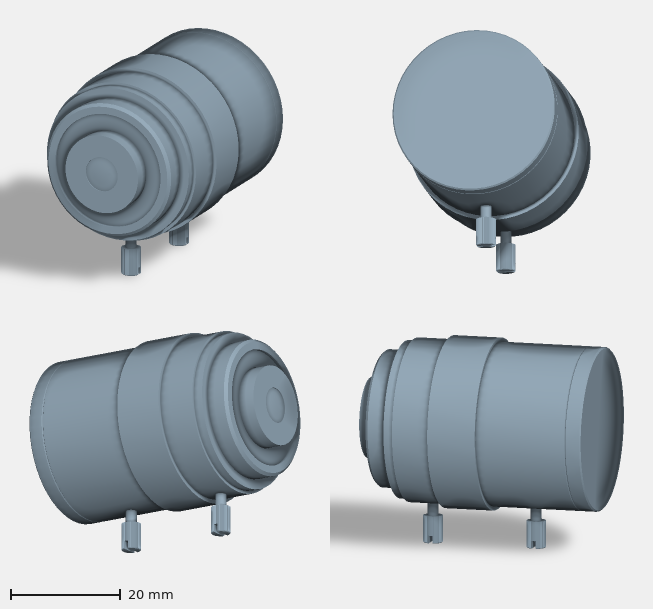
import cadquery as cq
import math

TOTAL_LENGTH = 44.0
LENS_RADIUS = 3.25
LENS_BULGE = 0.25
LENS_SINK = 0.18
NOSE_RADIUS = 7.4
NOSE_Y = LENS_BULGE - LENS_SINK
MOUNT_Y = 2.6
MOUNT_RADIUS = 12.65
MOUNT_CHAMFER = 0.55
RECESS_RADIUS = 10.75
RECESS_DEPTH = 0.65
NOSE_GAP = 0.1
NOSE_GAP_DEPTH = 0.45
STEP_Y = 6.65
STEP_RADIUS = 14.48
BARREL_Y = 8.4
BARREL_RADIUS = 15.05
RING_START_Y = 15.25
RING_END_Y = 24.25
RING_RADIUS = 15.8
GROOVE_Y = 40.88
GROOVE_WIDTH = 0.3
GROOVE_DEPTH = 0.18
REAR_CHAMFER = 0.25

SCREW_Y = (12.0, 31.5)
SCREW_END_Z = -22.5
STEM_RADIUS = 1.0
SOCKET_DEPTH = 1.3
HEAD_RADIUS = 1.8
HEAD_HEIGHT = 5.0
HEAD_CHAMFER = 0.18
KNURL_TEETH = 54
KNURL_DEPTH = 0.1
SLOT_WIDTH = 0.8
SLOT_DEPTH = 1.45

HEAD_TOP_Z = SCREW_END_Z + HEAD_HEIGHT
SOCKET_Z = -(BARREL_RADIUS - SOCKET_DEPTH)


def make_stem(y):
    """Plain screw stem from the socket floor down to the head."""
    return (
        cq.Workplane("XY", origin=(0, y, HEAD_TOP_Z))
        .circle(STEM_RADIUS)
        .extrude(SOCKET_Z - HEAD_TOP_Z)
    )


def make_head(y):
    """Knurled head with a chamfered end and a screwdriver slot along X."""
    outline = []
    for i in range(2 * KNURL_TEETH):
        radius = HEAD_RADIUS - KNURL_DEPTH * (i % 2)
        angle = math.pi * i / KNURL_TEETH
        outline.append((radius * math.cos(angle), radius * math.sin(angle)))
    knurled = (
        cq.Workplane("XY", origin=(0, y, SCREW_END_Z))
        .polyline(outline)
        .close()
        .extrude(HEAD_HEIGHT)
    )
    blank = (
        cq.Workplane("XY", origin=(0, y, SCREW_END_Z))
        .circle(HEAD_RADIUS)
        .extrude(HEAD_HEIGHT)
        .faces("<Z")
        .chamfer(HEAD_CHAMFER)
    )
    slot = (
        cq.Workplane("XY", origin=(0, y, SCREW_END_Z))
        .rect(2 * HEAD_RADIUS, SLOT_WIDTH)
        .extrude(SLOT_DEPTH)
    )
    return knurled.intersect(blank).cut(slot)


def make_screw(y):
    """One thumb screw: head and stem in one solid."""
    return make_head(y).union(make_stem(y))


def make_housing():
    """Revolved profile in (radius, Y), with a socket for each screw."""
    recess_floor_y = MOUNT_Y + RECESS_DEPTH
    groove_radius = BARREL_RADIUS - GROOVE_DEPTH
    dome_radius = (LENS_RADIUS**2 + LENS_BULGE**2) / (2 * LENS_BULGE)
    mid_radius = LENS_RADIUS / 2
    mid_y = dome_radius - math.sqrt(dome_radius**2 - mid_radius**2)
    profile = (
        cq.Workplane("XY")
        .moveTo(0, 0)
        .threePointArc((mid_radius, mid_y), (LENS_RADIUS, LENS_BULGE))
        .lineTo(LENS_RADIUS, NOSE_Y)
        .lineTo(NOSE_RADIUS, NOSE_Y)
        .lineTo(NOSE_RADIUS, recess_floor_y + NOSE_GAP_DEPTH)
        .lineTo(NOSE_RADIUS + NOSE_GAP, recess_floor_y + NOSE_GAP_DEPTH)
        .lineTo(NOSE_RADIUS + NOSE_GAP, recess_floor_y)
        .lineTo(RECESS_RADIUS, recess_floor_y)
        .lineTo(RECESS_RADIUS, MOUNT_Y)
        .lineTo(MOUNT_RADIUS - MOUNT_CHAMFER, MOUNT_Y)
        .lineTo(MOUNT_RADIUS, MOUNT_Y + MOUNT_CHAMFER)
        .lineTo(MOUNT_RADIUS, STEP_Y)
        .lineTo(STEP_RADIUS, STEP_Y)
        .lineTo(STEP_RADIUS, BARREL_Y)
        .lineTo(BARREL_RADIUS, BARREL_Y)
        .lineTo(BARREL_RADIUS, RING_START_Y)
        .lineTo(RING_RADIUS, RING_START_Y)
        .lineTo(RING_RADIUS, RING_END_Y)
        .lineTo(BARREL_RADIUS, RING_END_Y)
        .lineTo(BARREL_RADIUS, GROOVE_Y)
        .lineTo(groove_radius, GROOVE_Y + GROOVE_WIDTH / 2)
        .lineTo(BARREL_RADIUS, GROOVE_Y + GROOVE_WIDTH)
        .lineTo(BARREL_RADIUS, TOTAL_LENGTH - REAR_CHAMFER)
        .lineTo(BARREL_RADIUS - REAR_CHAMFER, TOTAL_LENGTH)
        .lineTo(0, TOTAL_LENGTH)
        .close()
    )
    body = profile.revolve(360, (0, 0, 0), (0, 1, 0))
    for y in SCREW_Y:
        body = body.cut(make_stem(y))
    return body


housing = make_housing()
screws = [make_screw(y) for y in SCREW_Y]

result = cq.Compound.makeCompound([housing.val(), *[screw.val() for screw in screws]])